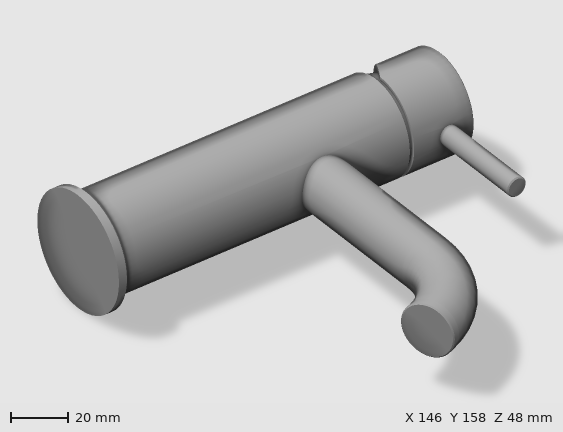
import cadquery as cq
import math

total_height = 158.0
body_diameter = 40.0
body_radius = body_diameter / 2
body_top = 129.9

flange_radius = 24.0
flange_thickness = 4.0
edge_chamfer = 0.5

head_bottom = 131.8
head_relief_angle = 30.0
neck_radius = 18.6

lever_diameter = 8.0
lever_height = 147.1
lever_tip_x = 59.9

spout_diameter = 22.0
spout_radius = spout_diameter / 2
spout_height = 94.0
bend_start_x = 78.4
bend_radius = 34.9
bend_angle = 67.5
outlet_length = 3.5


def upright_cylinder(radius, bottom, top):
    """Cylinder about the Y axis between two heights."""
    return cq.Workplane("XZ", origin=(0, bottom, 0)).circle(radius).extrude(bottom - top)


def make_base():
    """Body column standing on a wider flange."""
    flange = upright_cylinder(flange_radius, 0, flange_thickness).faces(">Y").chamfer(edge_chamfer)
    return flange.union(upright_cylinder(body_radius, 0, body_top))


def make_neck():
    """Ball seated on the body top, hidden in the head except at the gap."""
    return cq.Workplane("XY").sphere(neck_radius).translate((0, body_top, 0))


def make_head():
    """Cap whose lower edge slopes upward on the -X half."""
    head = upright_cylinder(body_radius, head_bottom, total_height).faces(">Y").chamfer(edge_chamfer)
    relief_rise = body_radius * math.tan(math.radians(head_relief_angle))
    relief = (
        cq.Workplane("XY")
        .moveTo(0, head_bottom)
        .lineTo(-body_radius, head_bottom + relief_rise)
        .lineTo(-body_radius, head_bottom)
        .close()
        .extrude(body_radius, both=True)
    )
    return head.cut(relief)


def make_lever():
    """Round pin projecting from the head."""
    pin = cq.Workplane("YZ").center(lever_height, 0).circle(lever_diameter / 2).extrude(lever_tip_x)
    return pin.faces(">X").chamfer(edge_chamfer)


def make_spout():
    """Round bar that runs out, bends down and ends in a short straight outlet."""
    angle = math.radians(bend_angle)
    bend_end = (
        bend_start_x + bend_radius * math.sin(angle),
        spout_height - bend_radius * (1 - math.cos(angle)),
    )
    straight = cq.Workplane("YZ").center(spout_height, 0).circle(spout_radius).extrude(bend_start_x)
    bend_path = cq.Workplane("XY").moveTo(bend_start_x, spout_height).threePointArc(
        (
            bend_start_x + bend_radius * math.sin(angle / 2),
            spout_height - bend_radius * (1 - math.cos(angle / 2)),
        ),
        bend_end,
    )
    bend = (
        cq.Workplane("YZ", origin=(bend_start_x, spout_height, 0))
        .circle(spout_radius)
        .sweep(bend_path)
    )
    outlet_plane = cq.Plane(
        origin=(*bend_end, 0),
        xDir=(0, 0, 1),
        normal=(math.cos(angle), -math.sin(angle), 0),
    )
    outlet = (
        cq.Workplane(outlet_plane)
        .circle(spout_radius)
        .extrude(outlet_length)
        .faces("<Y")
        .chamfer(edge_chamfer)
    )
    return straight.union(bend).union(outlet)


result = make_base().union(make_spout()).union(make_neck()).union(make_head()).union(make_lever())